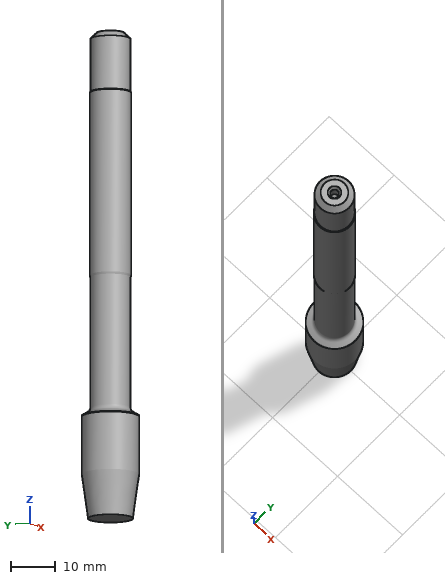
import cadquery as cq
import math

total_length = 110.0

head_diameter = 12.85
head_length = 23.0
nose_length = 10.0
nose_half_angle = 8.0

rim_height = 0.2
shoulder_slope = 30.0
fillet_radius = 1.3

neck_diameter = 9.02
grip_diameter = 9.32
end_diameter = 8.95
end_length = 13.4
end_step_height = 0.2
grip_length = 41.3
neck_step_height = 0.5
end_chamfer = 1.4

pilot_diameter = 2.0
countersink_diameter = 3.05
countersink_angle = 60.0
pilot_depth = 4.0
drill_point_angle = 118.0


def revolve_outline(outline):
    """Turn a closed outline in the XZ plane about the Z axis."""
    return outline.close().revolve(360, (0, 0), (0, 1))


def cone_height(base_radius, tip_radius, included_angle):
    """Height of a cone frustum with the given radii and included angle."""
    return (base_radius - tip_radius) / math.tan(math.radians(included_angle / 2))


def make_head():
    head_radius = head_diameter / 2
    nose_radius = head_radius - nose_length * math.tan(math.radians(nose_half_angle))
    outline = (
        cq.Workplane("XZ")
        .lineTo(nose_radius, 0)
        .lineTo(head_radius, nose_length)
        .lineTo(head_radius, head_length)
        .lineTo(0, head_length)
    )
    return revolve_outline(outline)


def make_centre_hole():
    """Countersunk pilot hole with a conical drill point, open at the top."""
    pilot_radius = pilot_diameter / 2
    countersink_radius = countersink_diameter / 2
    countersink_depth = cone_height(countersink_radius, pilot_radius, countersink_angle)
    point_height = cone_height(pilot_radius, 0, drill_point_angle)
    pilot_floor_z = total_length - pilot_depth
    outline = (
        cq.Workplane("XZ")
        .moveTo(0, pilot_floor_z - point_height)
        .lineTo(pilot_radius, pilot_floor_z)
        .lineTo(pilot_radius, total_length - countersink_depth)
        .lineTo(countersink_radius, total_length)
        .lineTo(0, total_length)
    )
    return revolve_outline(outline)


def make_shank():
    rim_radius = head_diameter / 2
    neck_radius = neck_diameter / 2
    grip_radius = grip_diameter / 2
    end_radius = end_diameter / 2

    slope = math.radians(shoulder_slope)
    rim_top_z = head_length + rim_height
    shoulder_radius = neck_radius + fillet_radius * (1 - math.sin(slope))
    shoulder_top_z = rim_top_z + (rim_radius - shoulder_radius) * math.tan(slope)
    fillet_top_z = shoulder_top_z + fillet_radius * math.cos(slope)

    grip_top_z = total_length - end_length - end_step_height
    grip_bottom_z = grip_top_z - grip_length

    outline = (
        cq.Workplane("XZ")
        .moveTo(0, head_length)
        .lineTo(rim_radius, head_length)
        .lineTo(rim_radius, rim_top_z)
        .lineTo(shoulder_radius, shoulder_top_z)
        .radiusArc((neck_radius, fillet_top_z), fillet_radius)
        .lineTo(neck_radius, grip_bottom_z - neck_step_height)
        .lineTo(grip_radius, grip_bottom_z)
        .lineTo(grip_radius, grip_top_z)
        .lineTo(end_radius, grip_top_z + end_step_height)
        .lineTo(end_radius, total_length - end_chamfer)
        .lineTo(end_radius - end_chamfer, total_length)
        .lineTo(0, total_length)
    )
    return revolve_outline(outline).cut(make_centre_hole())


head = make_head()
shank = make_shank()

result = cq.Compound.makeCompound([head.val(), shank.val()])